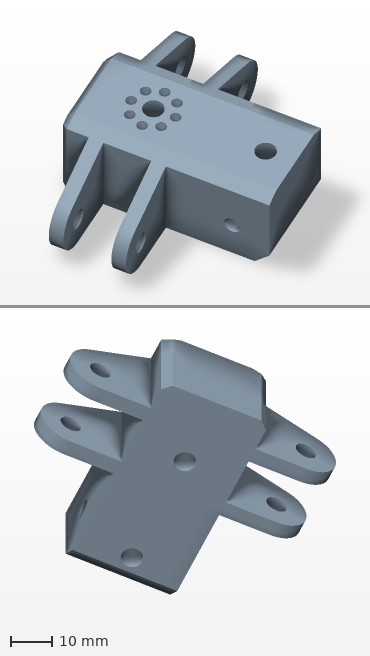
import cadquery as cq
import math

length = 57.0
height = 24.0
body_width = 28.0
top_width = 20.0
end_chamfer = 2.1
toe_chamfer = 4.0

overall_width = 71.0
lug_radius = 8.0
lug_thickness = 4.0
lug_starts = (8.0, 25.0)
pivot_y = overall_width / 2 - lug_radius
pivot_z = lug_radius

bolt_diameter = 5.5
hub_x = 18.5
far_hole_x = 49.0
cross_hole_diameter = 4.5
cross_hole_x = 47.0
cross_hole_z = 10.0

dimple_count = 8
dimple_diameter = 2.85
dimple_ring_radius = 6.0

run = pivot_y - top_width / 2
drop = height - pivot_z
slope_angle = math.atan2(drop, run) - math.asin(lug_radius / math.hypot(run, drop))
tangent_y = pivot_y + lug_radius * math.sin(slope_angle)
tangent_z = pivot_z + lug_radius * math.cos(slope_angle)
shoulder_z = height - (body_width - top_width) / 2 * math.tan(slope_angle)


def make_body():
    half_base = body_width / 2
    half_top = top_width / 2
    body = (
        cq.Workplane("YZ")
        .polyline([
            (-half_base, 0),
            (half_base, 0),
            (half_base, shoulder_z),
            (half_top, height),
            (-half_top, height),
            (-half_base, shoulder_z),
        ])
        .close()
        .extrude(length)
    )
    body = body.faces("<X").edges("not(<Z)").chamfer(end_chamfer)
    return body.faces(">X").edges("<Z").chamfer(toe_chamfer)


def make_lug_pair(start_x):
    """One plate across the block, forming a lug on either side."""
    mid_angle = -slope_angle / 2
    mid_y = pivot_y + lug_radius * math.cos(mid_angle)
    mid_z = pivot_z + lug_radius * math.sin(mid_angle)
    half_top = top_width / 2
    return (
        cq.Workplane("YZ", origin=(start_x, 0, 0))
        .moveTo(-pivot_y, 0)
        .lineTo(pivot_y, 0)
        .threePointArc((mid_y, mid_z), (tangent_y, tangent_z))
        .lineTo(half_top, height)
        .lineTo(-half_top, height)
        .lineTo(-tangent_y, tangent_z)
        .threePointArc((-mid_y, mid_z), (-pivot_y, 0))
        .close()
        .pushPoints([(-pivot_y, pivot_z), (pivot_y, pivot_z)])
        .circle(bolt_diameter / 2)
        .extrude(lug_thickness)
    )


def make_vertical_holes():
    return (
        cq.Workplane("XY")
        .pushPoints([(hub_x, 0), (far_hole_x, 0)])
        .circle(bolt_diameter / 2)
        .extrude(height)
    )


def make_cross_hole():
    return (
        cq.Workplane("XZ", origin=(cross_hole_x, 0, cross_hole_z))
        .circle(cross_hole_diameter / 2)
        .extrude(body_width / 2, both=True)
    )


def make_dimples():
    return (
        cq.Workplane("XY", origin=(hub_x, 0, height))
        .polarArray(dimple_ring_radius, 0, 360, dimple_count)
        .sphere(dimple_diameter / 2)
    )


result = make_body()
for lug_start in lug_starts:
    result = result.union(make_lug_pair(lug_start))
result = result.cut(make_vertical_holes()).cut(make_cross_hole()).cut(make_dimples())